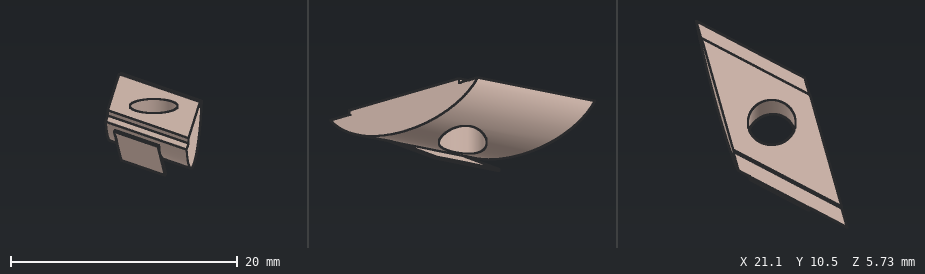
import cadquery as cq
import math

overall_length = 21.07
body_width = 10.47
edge_length = 10.95
body_height = 3.98
step_depth = 0.48
raised_width = 7.8
hole_diameter = 4.21

plate_length = 5.92
plate_slope_length = 6.53
plate_thickness = 0.17
plate_tilt = 45.0
plate_skew_shift = 4.4
plate_center_x = 1.54
plate_front_y = -5.29
plate_bottom_z = -5.73


def parallelogram(length, width, shift):
    """Corners of a centred parallelogram whose far edge is moved by -shift along X."""
    half_length = length / 2
    half_width = width / 2
    half_shift = shift / 2
    return [
        (-half_length + half_shift, -half_width),
        (half_length + half_shift, -half_width),
        (half_length - half_shift, half_width),
        (-half_length - half_shift, half_width),
    ]


def make_body():
    half_width = body_width / 2
    half_raised = raised_width / 2
    profile = (
        cq.Workplane("YZ")
        .moveTo(-half_raised, 0)
        .lineTo(half_raised, 0)
        .lineTo(half_raised, -step_depth)
        .lineTo(half_width, -step_depth)
        .threePointArc((0, -body_height), (-half_width, -step_depth))
        .lineTo(-half_raised, -step_depth)
        .close()
    )
    ends = (
        cq.Workplane("XY")
        .polyline(parallelogram(edge_length, body_width, overall_length - edge_length))
        .close()
        .extrude(-body_height)
    )
    hole = cq.Workplane("XY").circle(hole_diameter / 2).extrude(-body_height)
    bar = profile.extrude(overall_length, both=True)
    return bar.intersect(ends).cut(hole)


def make_plate():
    """Skewed plate whose end faces are square to its large faces."""
    tilt = math.radians(plate_tilt)
    outer_face_center = (
        plate_center_x,
        plate_front_y + plate_slope_length / 2 * math.cos(tilt),
        plate_bottom_z + plate_slope_length / 2 * math.sin(tilt),
    )
    inward_normal = (0, math.sin(tilt), math.cos(tilt))
    face = cq.Plane(origin=outer_face_center, xDir=(1, 0, 0), normal=inward_normal)
    return (
        cq.Workplane(face)
        .polyline(parallelogram(plate_length, plate_slope_length, plate_skew_shift))
        .close()
        .extrude(plate_thickness)
    )


result = make_body().union(make_plate())